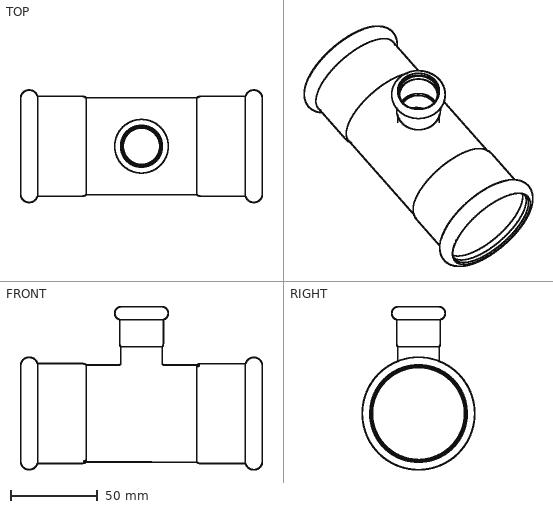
import cadquery as cq

run_length = 139.0
run_body_radius = 56.0 / 2
run_bore_radius = 53.0 / 2
run_bead_radius = 64.8 / 2

branch_top = 93.8 - run_bead_radius
branch_body_radius = 24.0 / 2
branch_bore_radius = 21.0 / 2

root_fillet = 0.7

run_socket = dict(
    outer=57.5 / 2,
    bore=54.5 / 2,
    body_outer=run_body_radius,
    body_bore=run_bore_radius,
    bead_outer=run_bead_radius,
    bead_width=9.7,
    mouth=56.0 / 2,
    lip=54.8 / 2,
    seal=54.0 / 2,
    lip_start=1.0,
    seal_start=3.0,
    seal_end=6.4,
    lip_end=9.2,
    shoulder_start=35.6,
    bore_taper_end=36.7,
    shoulder_end=37.7,
)
branch_socket = dict(
    outer=25.3 / 2,
    bore=22.2 / 2,
    body_outer=branch_body_radius,
    body_bore=branch_bore_radius,
    bead_outer=30.9 / 2,
    bead_width=7.5,
    mouth=24.0 / 2,
    lip=23.0 / 2,
    seal=21.5 / 2,
    lip_start=1.3,
    seal_start=2.2,
    seal_end=5.4,
    lip_end=6.4,
    shoulder_start=21.1,
    bore_taper_end=22.2,
    shoulder_end=23.1,
)


def revolve_profile(profile):
    """Revolve a (radius, height) profile about the Z axis."""
    return profile.close().revolve(360, (0, 0, 0), (0, 1, 0))


def socket_outside(size, length):
    """Solid envelope of a socket with its mouth at Z = 0 and its body running down to -length."""
    return revolve_profile(
        cq.Workplane("XZ")
        .lineTo(size["mouth"], 0)
        .threePointArc((size["bead_outer"], -size["bead_width"] / 2), (size["outer"], -size["bead_width"]))
        .lineTo(size["outer"], -size["shoulder_start"])
        .tangentArcPoint((size["body_outer"], -size["shoulder_end"]), relative=False)
        .lineTo(size["body_outer"], -length)
        .lineTo(0, -length)
    )


def socket_inside(size, length):
    """Cavity of a socket: flared mouth, lip, raised seal ring, socket bore and body bore."""
    seal_middle = (size["seal_start"] + size["seal_end"]) / 2
    return revolve_profile(
        cq.Workplane("XZ")
        .lineTo(size["mouth"], 0)
        .lineTo(size["lip"], -size["lip_start"])
        .lineTo(size["lip"], -size["seal_start"])
        .threePointArc((size["seal"], -seal_middle), (size["lip"], -size["seal_end"]))
        .lineTo(size["lip"], -size["lip_end"])
        .lineTo(size["bore"], -size["bead_width"])
        .lineTo(size["bore"], -size["shoulder_start"])
        .lineTo(size["body_bore"], -size["bore_taper_end"])
        .lineTo(size["body_bore"], -length)
        .lineTo(0, -length)
    )


def place_on_run_end(socket, side):
    """Turn a socket so that its mouth opens along X at the given side (+1 or -1)."""
    turned = socket.rotate((0, 0, 0), (0, 1, 0), side * 90)
    return turned.translate((side * run_length / 2, 0, 0))


def place_on_branch(socket):
    return socket.translate((0, 0, branch_top))


run_core_length = run_length - 2 * run_socket["shoulder_end"]
branch_core_top = branch_top - branch_socket["shoulder_end"]
run_core = cq.Workplane("YZ").circle(run_body_radius).extrude(run_core_length / 2, both=True)
branch_core = cq.Workplane("XY").circle(branch_body_radius).extrude(branch_core_top)
joint_zone = cq.selectors.BoxSelector(
    (-branch_body_radius, -branch_body_radius, branch_body_radius),
    (branch_body_radius, branch_body_radius, branch_core_top - root_fillet),
)
body = run_core.union(branch_core).edges(joint_zone).fillet(root_fillet)

for end in (-1, 1):
    body = body.union(place_on_run_end(socket_outside(run_socket, run_length / 2), end))
body = body.union(place_on_branch(socket_outside(branch_socket, branch_top)))

for end in (-1, 1):
    body = body.cut(place_on_run_end(socket_inside(run_socket, run_length / 2), end))
body = body.cut(place_on_branch(socket_inside(branch_socket, branch_top)))

result = body